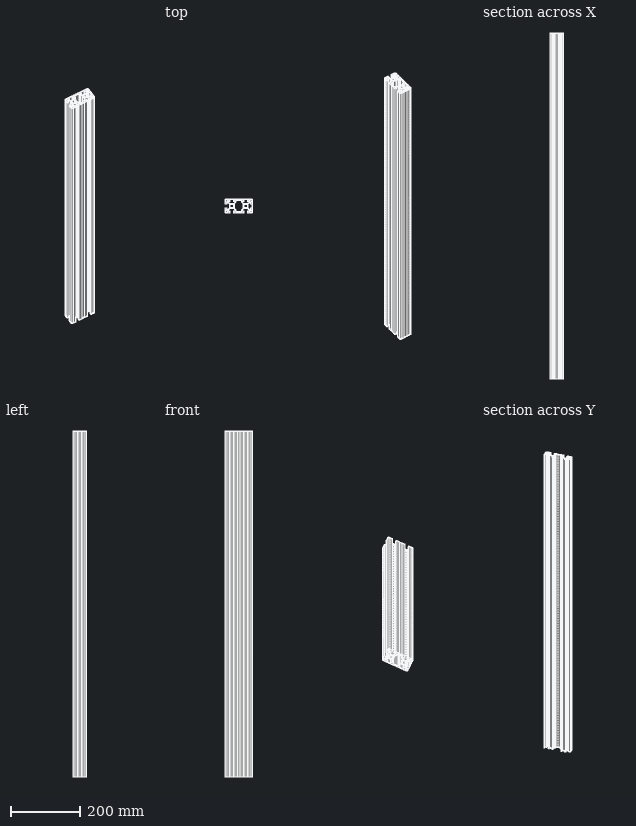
import cadquery as cq

width = 80.0
depth = 40.0
length = 1000.0
corner_radius = 3.5

cell_x = width / 4
half_cell = depth / 2
core_half_width = 7.4
core_bore_width = 9.2

slot_half_opening = 5.5
slot_half_width = 9.5
slot_floor_half_width = 6.3
lip_thickness = 6.1
cover_thickness = 1.6

cavity_half_width = cell_x - core_half_width
cavity_wall = 3.9
cavity_half_depth = half_cell - cavity_wall
cavity_side_half_depth = 6.2
cavity_end_half_width = 7.7
cavity_shoulder = 12.0

corner_wall = 2.3
corner_hollow = 5.2
corner_hollow_radius = 1.0

recess_width = 8.0
recess_depth = 0.5


def prism(points):
    """Full-length solid with the given closed outline."""
    return cq.Workplane("XY").polyline(points).close().extrude(length)


def slot(x, angle, covered):
    """T-slot in the cell centred at x, turned from +Y by angle; a cover leaves a thin skin over it."""
    lip = half_cell - lip_thickness
    mouth = half_cell - cover_thickness if covered else half_cell
    taper = slot_half_width - slot_floor_half_width
    right_side = [
        (slot_floor_half_width, core_half_width),
        (slot_half_width, core_half_width + taper),
        (slot_half_width, lip),
        (slot_half_opening, lip),
        (slot_half_opening, mouth),
    ]
    left_side = [(-u, v) for u, v in reversed(right_side)]
    cutter = prism(right_side + left_side)
    return cutter.rotate((0, 0, 0), (0, 0, 1), angle).translate((x, 0, 0))


def central_cavity():
    """Hollow between the cores, with sloping shoulders beside each core."""
    quarter = [
        (cavity_half_width, cavity_side_half_depth),
        (cavity_end_half_width, cavity_shoulder),
        (cavity_end_half_width, cavity_half_depth),
    ]
    upper = quarter + [(-x, y) for x, y in reversed(quarter)]
    lower = [(-x, -y) for x, y in upper]
    return prism(upper + lower)


def core_bores():
    """Square bore through each core."""
    centres = cq.Workplane("XY").pushPoints([(-cell_x, 0), (cell_x, 0)])
    return centres.rect(core_bore_width, core_bore_width).extrude(length)


def corner_hollows():
    """Rounded square hollow in each of the four corners."""
    inset = corner_wall + corner_hollow / 2
    spacing_x = width - 2 * inset
    spacing_y = depth - 2 * inset
    centres = cq.Workplane("XY").rect(spacing_x, spacing_y, forConstruction=True).vertices()
    hollows = centres.rect(corner_hollow, corner_hollow).extrude(length)
    return hollows.edges("|Z").fillet(corner_hollow_radius)


def face_recess():
    """Shallow flat-bottomed recess between the two slots of the -Y face."""
    floor_y = -half_cell + recess_depth
    half_width = recess_width / 2
    return prism([
        (-half_width, -half_cell),
        (half_width, -half_cell),
        (half_width, floor_y),
        (-half_width, floor_y),
    ])


body = cq.Workplane("XY").box(width, depth, length, centered=(True, True, False))
body = body.edges("|Z").fillet(corner_radius)

for x in (-cell_x, cell_x):
    body = body.cut(slot(x, 180, covered=False))
    body = body.cut(slot(x, 0, covered=True))
body = body.cut(slot(-cell_x, 90, covered=False))
body = body.cut(slot(cell_x, -90, covered=True))

body = body.cut(central_cavity())
body = body.cut(core_bores())
body = body.cut(corner_hollows())
body = body.cut(face_recess())

result = body